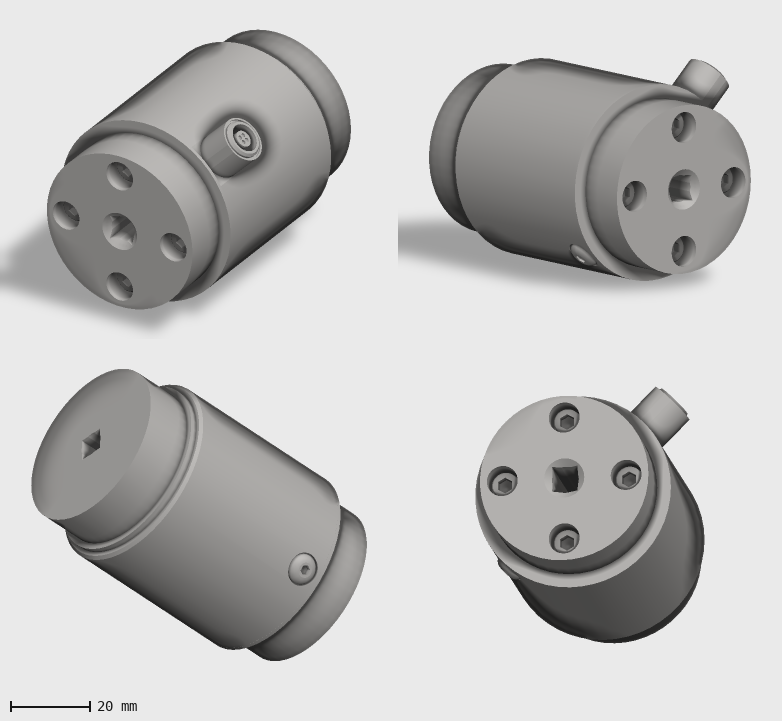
import cadquery as cq
import math


total_length = 76.2
end_diameter = 43.18
end_length = 12.7
flange_diameter = 50.16
body_diameter = 50.1
flange_thickness = 1.0
ring_diameter = 46.4
ring_length = 1.67
body_chamfer = 0.76

square_side = 6.5
pilot_diameter = 6.86
lead_in_diameter = 10.3
lead_in_angle = 45

screw_circle_radius = 15.875
screw_count = 4
screw_hole_diameter = 7.9
screw_head_diameter = 6.86
screw_head_height = 4.17
screw_head_chamfer = 0.3
screw_recess_depth = 4.1
screw_hex_width = 3.57
screw_hex_depth = 2.0
drill_point_angle = 118

connector_angle = 45
connector_y = 20.1
connector_diameter = 12.0
connector_base_height = 23.9
connector_end_height = 34.13
connector_flat_width = 2.45
connector_flat_height = 0.5 * math.sqrt(connector_diameter**2 - connector_flat_width**2)
collar_diameter = 10.1
collar_straight = 0.1
collar_top_diameter = 9.0
collar_height = 0.78
groove_diameter = 11.0
groove_depth = 0.5
bore_diameter = 7.6
bore_depth = 5.0
insulator_diameter = 4.5
insulator_recess = 0.5
pin_pitch = 1.45
pin_diameter = 0.8
socket_diameter = 1.1
socket_depth = 1.0
pin_recess = 0.3

seat_radius = 6.15
seat_height = math.sqrt((body_diameter / 2) ** 2 - seat_radius**2)

button_angle = 225
button_y = 18.65
button_diameter = 7.87
button_base_height = 23.9
button_rim_height = 24.4
button_top_height = 26.1
button_top_diameter = 3.9
button_shoulder_radius = 3.15
button_shoulder_height = 25.6
button_hex_width = 2.38
button_hex_depth = 1.4
button_seat_diameter = 8.6


def hex_corners(width):
    """Diameter over the corners of a hexagon of the given width over flats."""
    return width / math.cos(math.pi / 6)


def cone_height(diameter, angle):
    """Height of a full cone with the given base diameter and tip angle."""
    return diameter / 2 / math.tan(math.radians(angle / 2))


def cylinder(diameter, low, high):
    return cq.Workplane("XY").workplane(offset=low).circle(diameter / 2).extrude(high - low)


def hex_socket(width, depth):
    """Hexagonal recess cut down from Z = 0, with a conical floor; corners along Y."""
    corners = hex_corners(width)
    point_height = cone_height(corners, drill_point_angle)
    prism = cq.Workplane("XY").polygon(6, corners).extrude(-depth - point_height)
    drill = (
        cq.Workplane("XZ")
        .polyline([(0, 0), (corners, 0), (corners, -depth + point_height), (0, -depth - point_height)])
        .close()
        .revolve(360, (0, 0), (0, 1))
    )
    return prism.intersect(drill).rotate((0, 0, 0), (0, 0, 1), 90)


def place_on_front(tool, x, z, y):
    """Turn a tool standing along +Z to face -Y and move it to a point."""
    return tool.rotate((0, 0, 0), (1, 0, 0), 90).translate((x, y, z))


def place_radially(tool, angle, y):
    """Turn a tool standing along +Z to an angle about the Y axis, measured from +X to +Z."""
    return tool.rotate((0, 0, 0), (0, 1, 0), 90 - angle).translate((0, y, 0))


def make_body():
    end_radius = end_diameter / 2
    flange_radius = flange_diameter / 2
    flange_end = end_length + flange_thickness
    body_radius = body_diameter / 2
    ring_radius = ring_diameter / 2
    ring_end = total_length - end_length
    body_end = ring_end - ring_length
    profile = [
        (0, 0),
        (end_radius, 0),
        (end_radius, end_length),
        (flange_radius, end_length),
        (flange_radius, flange_end),
        (body_radius, flange_end),
        (body_radius, body_end - body_chamfer),
        (body_radius - body_chamfer, body_end),
        (ring_radius, body_end),
        (ring_radius, ring_end),
        (end_radius, ring_end),
        (end_radius, total_length),
        (0, total_length),
    ]
    return cq.Workplane("XY").polyline(profile).close().revolve(360, (0, 0), (0, 1))


def make_drive_hole():
    """Square hole broached through a round pilot hole slightly wider than its flats."""
    square = cq.Workplane("XZ").rect(square_side, square_side).extrude(-total_length)
    pilot = cq.Workplane("XZ").circle(pilot_diameter / 2).extrude(-total_length)
    lead_in_depth = lead_in_diameter / 2 / math.tan(math.radians(lead_in_angle))
    lead_in = (
        cq.Workplane("XY")
        .polyline([(0, 0), (lead_in_diameter / 2, 0), (0, lead_in_depth)])
        .close()
        .revolve(360, (0, 0), (0, 1))
    )
    return square.union(pilot).union(lead_in)


def make_socket_screw():
    """Head with its top at Z = 0."""
    head = cylinder(screw_head_diameter, -screw_head_height, 0).faces(">Z").chamfer(screw_head_chamfer)
    return head.cut(hex_socket(screw_hex_width, screw_hex_depth))


def add_front_screws(part):
    screw_floor = screw_recess_depth + screw_head_height
    for i in range(screw_count):
        angle = 2 * math.pi * i / screw_count
        x = screw_circle_radius * math.cos(angle)
        z = screw_circle_radius * math.sin(angle)
        hole = cylinder(screw_hole_diameter, -screw_floor, 0)
        part = part.cut(place_on_front(hole, x, z, 0))
        part = part.union(place_on_front(make_socket_screw(), x, z, screw_recess_depth))
    return part


def make_seat_cut():
    """Slot with a round end, running to the front flange (towards -Y)."""
    depth = body_diameter / 2 - seat_height
    front = end_length + flange_thickness - connector_y
    plane = cq.Workplane("XY").workplane(offset=seat_height)
    return (
        plane.moveTo(-seat_radius, front)
        .lineTo(-seat_radius, 0)
        .threePointArc((0, seat_radius), (seat_radius, 0))
        .lineTo(seat_radius, front)
        .close()
        .extrude(depth)
    )


def make_connector():
    """Connector standing along +Z, measured from the shaft axis."""
    end = connector_end_height
    top = end + collar_height
    insulator_top = top - insulator_recess
    shell = cylinder(connector_diameter, connector_base_height, end)
    flat_cutter = cq.Workplane("XY").box(connector_diameter, connector_diameter, 2 * top)
    shell = shell.cut(flat_cutter.translate((0, -connector_flat_height - connector_diameter / 2, 0)))
    collar_profile = [
        (0, end - groove_depth),
        (collar_diameter / 2, end - groove_depth),
        (collar_diameter / 2, end + collar_straight),
        (collar_top_diameter / 2, top),
        (0, top),
    ]
    collar = cq.Workplane("XZ").polyline(collar_profile).close().revolve(360, (0, 0), (0, 1))
    bore = cylinder(bore_diameter, top - bore_depth, top)
    insulator = cylinder(insulator_diameter, top - bore_depth, insulator_top)
    groove = cylinder(groove_diameter, end - groove_depth, end)
    connector = shell.cut(groove).union(collar).cut(bore).union(insulator)
    floor = insulator_top - socket_depth
    for x in (-pin_pitch / 2, pin_pitch / 2):
        for y in (-pin_pitch / 2, pin_pitch / 2):
            socket = cylinder(socket_diameter, floor, insulator_top).translate((x, y, 0))
            pin = cylinder(pin_diameter, floor, insulator_top - pin_recess).translate((x, y, 0))
            connector = connector.cut(socket).union(pin)
    return connector


def make_button_screw():
    """Domed head standing along +Z, measured from the shaft axis."""
    head = (
        cq.Workplane("XZ")
        .moveTo(0, button_base_height)
        .lineTo(button_diameter / 2, button_base_height)
        .lineTo(button_diameter / 2, button_rim_height)
        .threePointArc(
            (button_shoulder_radius, button_shoulder_height),
            (button_top_diameter / 2, button_top_height),
        )
        .lineTo(0, button_top_height)
        .close()
        .revolve(360, (0, 0), (0, 1))
    )
    socket = hex_socket(button_hex_width, button_hex_depth).rotate((0, 0, 0), (0, 0, 1), 90)
    return head.cut(socket.translate((0, 0, button_top_height)))


part = make_body().cut(make_drive_hole())
part = add_front_screws(part)
part = part.cut(place_radially(make_seat_cut(), connector_angle, connector_y))
part = part.union(place_radially(make_connector(), connector_angle, connector_y))
button_seat = cylinder(button_seat_diameter, button_base_height, button_top_height)
part = part.cut(place_radially(button_seat, button_angle, button_y))
part = part.union(place_radially(make_button_screw(), button_angle, button_y))
result = part